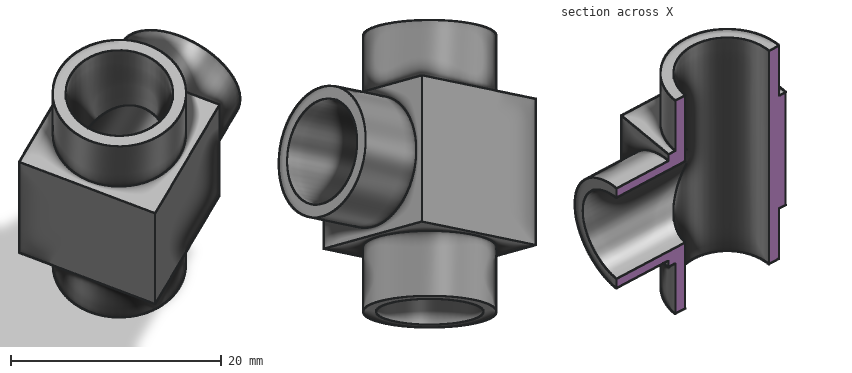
import cadquery as cq

cube_side = 14.3
pipe_diameter = 12.7
bore_diameter = 10.2
stub_length = 6.35

reach = cube_side / 2 + stub_length


def branch_cylinder(diameter):
    """Cylinder from the cube centre to the +Y stub end."""
    return cq.Workplane("XZ").circle(diameter / 2).extrude(-reach)


def run_cylinder(diameter):
    """Vertical cylinder through the cube, from stub end to stub end."""
    return cq.Workplane("XY").circle(diameter / 2).extrude(reach, both=True)


body = cq.Workplane("XY").box(cube_side, cube_side, cube_side)
body = body.union(run_cylinder(pipe_diameter)).union(branch_cylinder(pipe_diameter))

result = body.cut(run_cylinder(bore_diameter)).cut(branch_cylinder(bore_diameter))